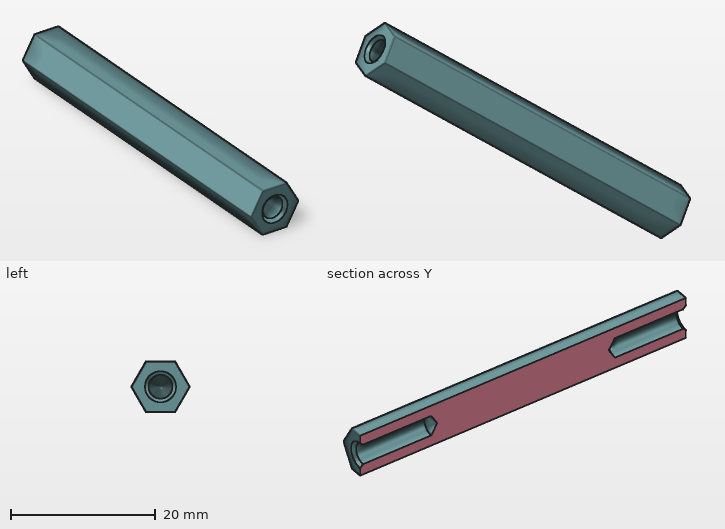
import cadquery as cq
import math

length = 55.0
side_count = 6
across_flats = 7.0
edge_radius = 0.1

hole_diameter = 3.3
hole_depth = 12.0
drill_point_angle = 118.0
countersink_diameter = 4.3
countersink_angle = 90.0


def hex_bar():
    """Hexagonal bar centred on the origin, flats facing +Z and -Z, all outer edges rounded."""
    across_corners = across_flats / math.cos(math.pi / side_count)
    bar = cq.Workplane("YZ").polygon(side_count, across_corners).extrude(length / 2, both=True)
    return bar.edges().fillet(edge_radius)


def tapping_hole():
    """Solid of the countersunk blind hole in the -X end, with a conical drill point."""
    hole_radius = hole_diameter / 2
    countersink_radius = countersink_diameter / 2
    countersink_depth = (countersink_radius - hole_radius) / math.tan(math.radians(countersink_angle / 2))
    point_depth = hole_radius / math.tan(math.radians(drill_point_angle / 2))
    mouth = -length / 2
    floor = mouth + hole_depth
    return (
        cq.Workplane("XY")
        .moveTo(mouth, 0)
        .lineTo(mouth, countersink_radius)
        .lineTo(mouth + countersink_depth, hole_radius)
        .lineTo(floor, hole_radius)
        .lineTo(floor + point_depth, 0)
        .close()
        .revolve(360, (0, 0, 0), (1, 0, 0))
    )


near_hole = tapping_hole()
far_hole = near_hole.mirror("YZ")
result = hex_bar().cut(near_hole).cut(far_hole)